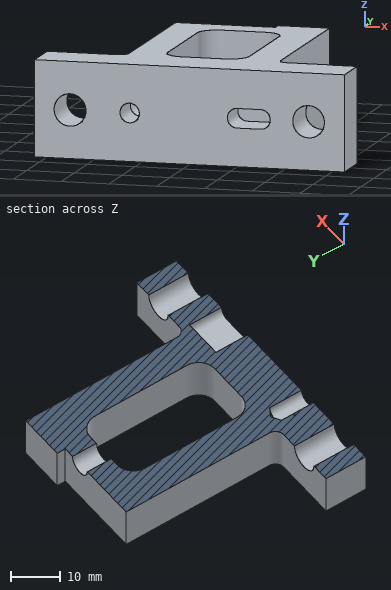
import cadquery as cq
import math

base_length = 65.0
base_depth = 10.0
height = 20.0
leg_width = 31.8
leg_end = 47.9
lip_start = 5.0
lip_end = 49.9
corner_radius = 2.0

pocket_width = 17.1
pocket_front = 10.85
pocket_back = 41.85
pocket_radius = 4.0

bolt_spacing = 50.0
bolt_diameter = 6.6
dowel_spacing = 24.95
dowel_diameter = 4.0
dowel_depth = 8.0
drill_point_angle = 118.0
slot_length = 9.0
end_hole_diameter = 5.0


def front_plane(y=0):
    """XZ plane at the given Y; a negative extrusion goes into the part (+Y)."""
    return cq.Workplane("XZ", origin=(0, y, 0))


def cylinder_along_y(x, diameter, start, end):
    return front_plane(start).center(x, 0).circle(diameter / 2).extrude(start - end)


def make_body():
    """T-shaped plate with a lip on part of the leg's end and rounded inner corners."""
    half_base = base_length / 2
    half_leg = leg_width / 2
    outline = [
        (-half_base, 0),
        (half_base, 0),
        (half_base, base_depth),
        (half_leg, base_depth),
        (half_leg, lip_end),
        (lip_start, lip_end),
        (lip_start, leg_end),
        (-half_leg, leg_end),
        (-half_leg, base_depth),
        (-half_base, base_depth),
    ]
    body = cq.Workplane("XY", origin=(0, 0, -height / 2)).polyline(outline).close().extrude(height)
    for side in (-1, 1):
        inner_corner = cq.selectors.NearestToPointSelector((side * half_leg, base_depth, 0))
        body = body.edges("|Z").edges(inner_corner).fillet(corner_radius)
    return body


def make_pocket():
    """Rounded rectangular window through the leg along Z."""
    pocket_length = pocket_back - pocket_front
    pocket_middle = (pocket_front + pocket_back) / 2
    window = cq.Workplane("XY", origin=(0, pocket_middle, 0)).box(pocket_width, pocket_length, height)
    return window.edges("|Z").fillet(pocket_radius)


def make_dowel_hole():
    """Blind round hole ending in a drill point."""
    radius = dowel_diameter / 2
    tip_depth = dowel_depth + radius / math.tan(math.radians(drill_point_angle / 2))
    profile = [(0, 0), (radius, 0), (radius, dowel_depth), (0, tip_depth)]
    sketch = cq.Workplane("XY", origin=(-dowel_spacing / 2, 0, 0)).polyline(profile).close()
    return sketch.revolve(360, (0, 0), (0, 1))


def make_dowel_slot():
    """Blind flat-bottomed slot, as wide as the dowel hole."""
    return front_plane().center(dowel_spacing / 2, 0).slot2D(slot_length, dowel_diameter).extrude(-dowel_depth)


result = make_body().cut(make_pocket()).cut(make_dowel_hole()).cut(make_dowel_slot())

for side in (-1, 1):
    result = result.cut(cylinder_along_y(side * bolt_spacing / 2, bolt_diameter, 0, base_depth))

pocket_middle_y = (pocket_front + pocket_back) / 2
result = result.cut(cylinder_along_y(0, end_hole_diameter, pocket_middle_y, lip_end))